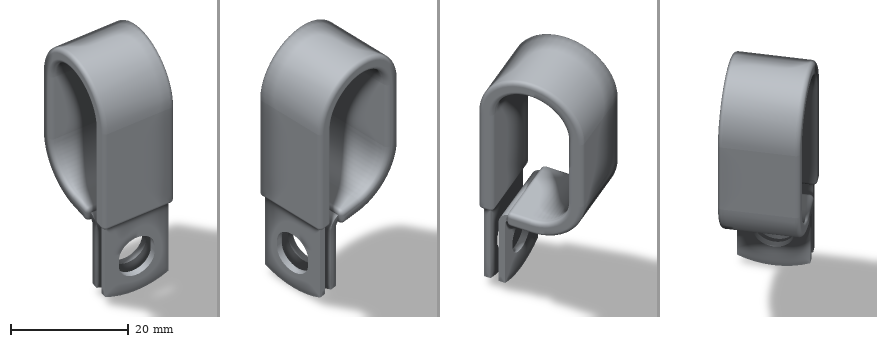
import cadquery as cq
import math


loop_width = 19.85
total_height = 49.55
cushion_depth = 14.25
cushion_layer = 0.8
strap_thickness = 1.25
side_length = 14.25
lower_arm_end = 4.55
long_leg_height = 32.2
tab_gap = 1.55
bend_inner_radius = 1.2
hole_diameter = 7.15
slot_length = 8.5
hole_below_crown = 41.65
tab_end_rise = 1.45

outer_radius = loop_width / 2
wall = strap_thickness + 2 * cushion_layer
inner_radius = outer_radius - wall
strap_depth = cushion_depth - 2 * cushion_layer
tab_bottom = outer_radius - total_height
hole_z = outer_radius - hole_below_crown
long_leg_end = outer_radius - long_leg_height
lower_outer_z = -side_length - outer_radius
lower_inner_z = -side_length - inner_radius
strap_lower_z = lower_outer_z + cushion_layer
strap_upper_z = strap_lower_z + strap_thickness
long_tab_outer_x = outer_radius - cushion_layer
long_tab_inner_x = long_tab_outer_x - strap_thickness
short_tab_outer_x = long_tab_inner_x - tab_gap
short_tab_inner_x = short_tab_outer_x - strap_thickness
bend_x = short_tab_inner_x - bend_inner_radius
bend_z = strap_lower_z - bend_inner_radius
bend_outer_radius = bend_inner_radius + strap_thickness
embed = 1.5
diagonal = math.sqrt(0.5)


def make_cushion():
    profile = (
        cq.Workplane("XZ")
        .moveTo(outer_radius, long_leg_end)
        .lineTo(outer_radius, 0)
        .threePointArc((0, outer_radius), (-outer_radius, 0))
        .lineTo(-outer_radius, -side_length)
        .threePointArc(
            (-outer_radius * diagonal, -side_length - outer_radius * diagonal), (0, lower_outer_z)
        )
        .lineTo(lower_arm_end, lower_outer_z)
        .lineTo(lower_arm_end, lower_inner_z)
        .lineTo(0, lower_inner_z)
        .threePointArc(
            (-inner_radius * diagonal, -side_length - inner_radius * diagonal), (-inner_radius, -side_length)
        )
        .lineTo(-inner_radius, 0)
        .threePointArc((0, inner_radius), (inner_radius, 0))
        .lineTo(inner_radius, long_leg_end)
        .close()
    )
    body = profile.extrude(cushion_depth / 2, both=True)
    end_points = [
        (inner_radius, 0, long_leg_end),
        (outer_radius, 0, long_leg_end),
        (lower_arm_end, 0, lower_inner_z),
        (lower_arm_end, 0, lower_outer_z),
    ]
    edges = body.faces("<Y or >Y").edges()
    for point in end_points:
        edges = edges.add(body.edges(cq.selectors.NearestToPointSelector(point)))
    return edges.fillet(cushion_layer)


def make_long_tab():
    return (
        cq.Workplane("XZ")
        .moveTo(long_tab_inner_x, long_leg_end + embed)
        .lineTo(long_tab_outer_x, long_leg_end + embed)
        .lineTo(long_tab_outer_x, tab_bottom)
        .lineTo(long_tab_inner_x, tab_bottom)
        .close()
        .extrude(strap_depth / 2, both=True)
    )


def make_short_tab():
    def bend_middle(radius):
        return (bend_x + radius * diagonal, bend_z + radius * diagonal)

    return (
        cq.Workplane("XZ")
        .moveTo(lower_arm_end - embed, strap_upper_z)
        .lineTo(bend_x, strap_upper_z)
        .threePointArc(bend_middle(bend_outer_radius), (short_tab_outer_x, bend_z))
        .lineTo(short_tab_outer_x, tab_bottom)
        .lineTo(short_tab_inner_x, tab_bottom)
        .lineTo(short_tab_inner_x, bend_z)
        .threePointArc(bend_middle(bend_inner_radius), (bend_x, strap_lower_z))
        .lineTo(lower_arm_end - embed, strap_lower_z)
        .close()
        .extrude(strap_depth / 2, both=True)
    )


def make_tab_outline():
    """Rounded-end plate, used to trim a tab."""
    half_depth = strap_depth / 2
    return (
        cq.Workplane("YZ")
        .moveTo(-half_depth, 0)
        .lineTo(-half_depth, tab_bottom + tab_end_rise)
        .threePointArc((0, tab_bottom), (half_depth, tab_bottom + tab_end_rise))
        .lineTo(half_depth, 0)
        .close()
        .extrude(outer_radius)
    )


def make_slot_cutter():
    return cq.Workplane("YZ").center(0, hole_z).slot2D(slot_length, hole_diameter, 90).extrude(outer_radius)


def make_hole_cutter():
    return cq.Workplane("YZ").center(0, hole_z).circle(hole_diameter / 2).extrude(outer_radius)


tab_outline = make_tab_outline()
long_tab = make_long_tab().intersect(tab_outline).cut(make_slot_cutter())
short_tab = make_short_tab().intersect(tab_outline).cut(make_hole_cutter())
result = make_cushion().union(long_tab).union(short_tab)